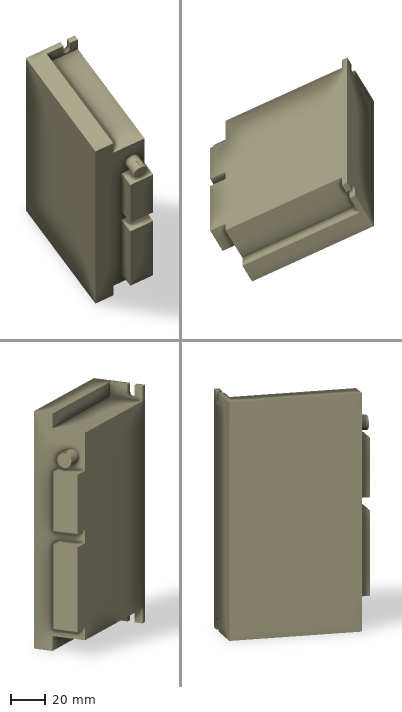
import cadquery as cq

HEIGHT = 143.0
WIDTH = 80.0
DEPTH = 33.0
FRONT_LEDGE = 12.0
FLANGE_THICKNESS = 3.5
RECESS_DEPTH = 9.0

SLOT_WIDTH = 4.5
SLOT_DEPTH = 7.6
SLOT_FROM_BACK = 7.5

PROJECTION = 10.0

CONNECTOR_DEPTH = 15.5
CONNECTORS = [(31.9, 35.6), (75.5, 51.0)]

KNOB_DIAMETER = 9.0
KNOB_RADIUS = KNOB_DIAMETER / 2
KNOB_FROM_BACK = 8.5
KNOB_FROM_TOP = 24.2
NOTCH_LENGTH = 5.0
NOTCH_WIDTH = 1.0
NOTCH_DEPTH = 0.7


def corner_box(x, y, z, origin):
    """Box of the given size with its lowest corner at origin."""
    return cq.Workplane("XY").box(x, y, z, centered=False).translate(origin)


def end_recess(bottom):
    """Cutter that leaves the front ledge and the flange standing."""
    return corner_box(
        WIDTH - FLANGE_THICKNESS,
        DEPTH - FRONT_LEDGE,
        RECESS_DEPTH,
        (FLANGE_THICKNESS, FRONT_LEDGE, bottom),
    )


def flange_slot(end_z):
    """Round-ended slot cutter centred on one end of the flange."""
    return (
        cq.Workplane("YZ")
        .center(DEPTH - SLOT_FROM_BACK, end_z)
        .slot2D(2 * SLOT_DEPTH, SLOT_WIDTH, 90)
        .extrude(FLANGE_THICKNESS)
    )


def make_housing():
    housing = corner_box(WIDTH, DEPTH, HEIGHT, (0, 0, 0))
    for recess_bottom in (0, HEIGHT - RECESS_DEPTH):
        housing = housing.cut(end_recess(recess_bottom))
    for end_z in (0, HEIGHT):
        housing = housing.cut(flange_slot(end_z))
    return housing


def make_connector(from_top, length):
    """Block on the +X face, flush with the back of the housing."""
    origin = (WIDTH, DEPTH - CONNECTOR_DEPTH, HEIGHT - from_top - length)
    return corner_box(PROJECTION, CONNECTOR_DEPTH, length, origin)


def make_knob():
    axis_y = DEPTH - KNOB_FROM_BACK
    axis_z = HEIGHT - KNOB_FROM_TOP
    knob = (
        cq.Workplane("YZ", origin=(WIDTH, axis_y, axis_z))
        .circle(KNOB_RADIUS)
        .extrude(PROJECTION)
    )
    notch_origin = (
        WIDTH + PROJECTION - NOTCH_LENGTH,
        axis_y - NOTCH_WIDTH / 2,
        axis_z + KNOB_RADIUS - NOTCH_DEPTH,
    )
    return knob.cut(corner_box(NOTCH_LENGTH, NOTCH_WIDTH, NOTCH_DEPTH, notch_origin))


housing = make_housing()
knob = make_knob()
connectors = [make_connector(from_top, length) for from_top, length in CONNECTORS]

result = cq.Compound.makeCompound(
    [housing.val(), knob.val(), *[connector.val() for connector in connectors]]
)